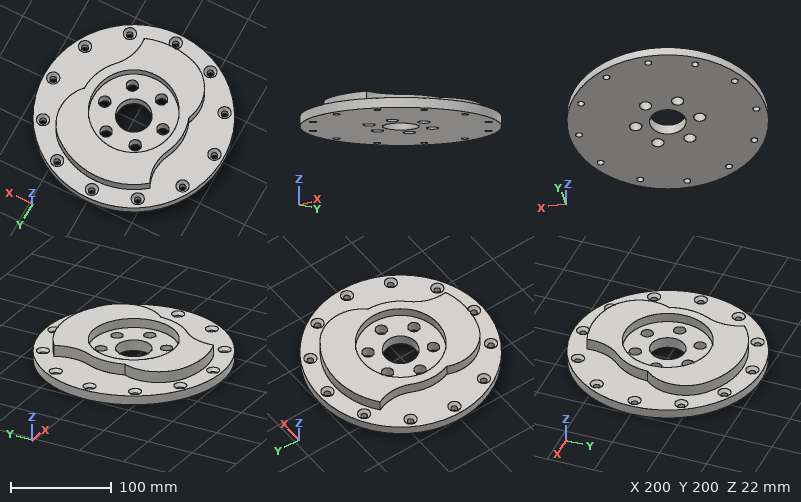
import cadquery as cq
import math

flange_diameter = 200.0
flange_thickness = 10.0
bore_diameter = 36.0

cam_height = 12.0
cam_outer_radius = 80.0
cam_hub_radius = 55.0

upper_lobe_start = 0.0
upper_lobe_tip = 129.0
lower_lobe_start = 200.0
lower_lobe_tip = 290.0
lobe_rise_angle = 50.0
lobe_fall_angle = 26.0

pocket_diameter = 90.0
pocket_depth = 10.0

bolt_hole_count = 6
bolt_hole_diameter = 12.0
bolt_circle_diameter = 65.0

rim_hole_count = 12
rim_hole_diameter = 6.6
rim_circle_diameter = 180.0
countersink_diameter = 13.0
countersink_angle = 90.0

total_height = flange_thickness + cam_height


def polar(radius, angle):
    """Point at a radius and an angle in degrees."""
    return (radius * math.cos(math.radians(angle)), radius * math.sin(math.radians(angle)))


def toward(start, end, distance):
    """Point at a distance from start on the line to end."""
    share = distance / math.dist(start, end)
    return (start[0] + share * (end[0] - start[0]), start[1] + share * (end[1] - start[1]))


def flank_middle(tangent_radius, tangent_angle, end_radius, end_angle):
    """Middle of an arc tangent to one circle about the axis and ending on another.

    The signed flank radius is positive for an arc inside the tangent circle (convex)
    and negative for an arc outside it (hollow).
    """
    cosine = math.cos(math.radians(tangent_angle - end_angle))
    chord_squared = tangent_radius**2 + end_radius**2 - 2 * tangent_radius * end_radius * cosine
    flank_radius = chord_squared / (2 * (tangent_radius - end_radius * cosine))
    center = polar(tangent_radius - flank_radius, tangent_angle)
    tangent_point = polar(tangent_radius, tangent_angle)
    end_point = polar(end_radius, end_angle)
    chord_middle = ((tangent_point[0] + end_point[0]) / 2, (tangent_point[1] + end_point[1]) / 2)
    return toward(center, chord_middle, abs(flank_radius))


def add_lobe(outline, start_angle, tip_angle, next_start_angle):
    """Draw one lobe counterclockwise, then follow the hub to the next lobe."""
    crest_angle = start_angle + lobe_rise_angle
    hub_angle = tip_angle + lobe_fall_angle
    rise_middle = flank_middle(cam_outer_radius, crest_angle, cam_hub_radius, start_angle)
    fall_middle = flank_middle(cam_hub_radius, hub_angle, cam_outer_radius, tip_angle)
    return (
        outline.threePointArc(rise_middle, polar(cam_outer_radius, crest_angle))
        .threePointArc(
            polar(cam_outer_radius, (crest_angle + tip_angle) / 2),
            polar(cam_outer_radius, tip_angle),
        )
        .threePointArc(fall_middle, polar(cam_hub_radius, hub_angle))
        .threePointArc(
            polar(cam_hub_radius, (hub_angle + next_start_angle) / 2),
            polar(cam_hub_radius, next_start_angle),
        )
    )


def make_flange():
    return cq.Workplane("XY").circle(flange_diameter / 2).extrude(flange_thickness)


def make_cam():
    outline = cq.Workplane("XY", origin=(0, 0, flange_thickness))
    outline = outline.moveTo(*polar(cam_hub_radius, upper_lobe_start))
    outline = add_lobe(outline, upper_lobe_start, upper_lobe_tip, lower_lobe_start)
    outline = add_lobe(outline, lower_lobe_start, lower_lobe_tip, upper_lobe_start + 360)
    return outline.close().extrude(cam_height)


def cut_pocket_and_bore(body):
    pocket = (
        cq.Workplane("XY", origin=(0, 0, total_height))
        .circle(pocket_diameter / 2)
        .extrude(-pocket_depth)
    )
    bore = cq.Workplane("XY").circle(bore_diameter / 2).extrude(total_height)
    return body.cut(pocket).cut(bore)


def cut_bolt_holes(body):
    holes = (
        cq.Workplane("XY")
        .polarArray(bolt_circle_diameter / 2, 0, 360, bolt_hole_count)
        .circle(bolt_hole_diameter / 2)
        .extrude(total_height)
    )
    return body.cut(holes)


def cut_rim_holes(body):
    return (
        body.copyWorkplane(cq.Workplane("XY", origin=(0, 0, flange_thickness)))
        .polarArray(rim_circle_diameter / 2, 0, 360, rim_hole_count)
        .cskHole(rim_hole_diameter, countersink_diameter, countersink_angle)
    )


result = make_flange().union(make_cam())
result = cut_pocket_and_bore(result)
result = cut_bolt_holes(result)
result = cut_rim_holes(result)